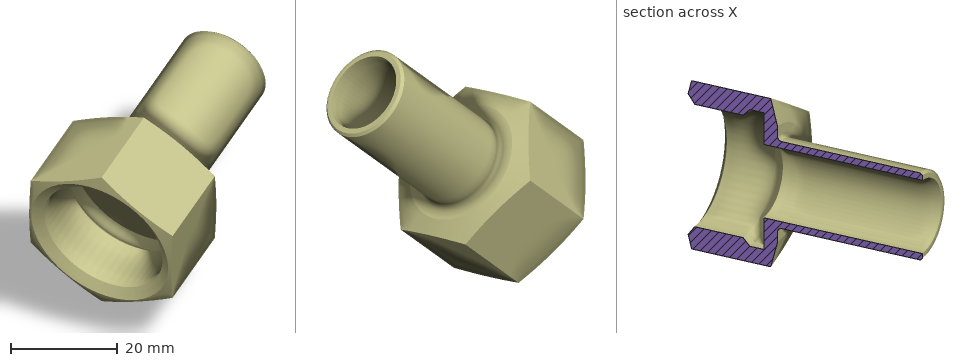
import cadquery as cq
import math

total_length = 50.25
across_flats = 30.0
nut_length = 19.25
tube_diameter = 18.0
tube_bore_diameter = 15.0

chamfer_angle = math.radians(15)
front_face_diameter = 28.95
back_face_diameter = 23.75

tube_end_chamfer = 0.5
tube_root_fillet = 0.8

socket_diameter = 25.1
countersink_depth = 1.45
relief_diameter = 28.0
relief_start = 11.8
socket_depth = 16.25

front_y = -total_length / 2
back_y = total_length / 2
nut_back_y = front_y + nut_length
corner_radius = across_flats / math.sqrt(3)


def revolve_profile(points):
    """Turn a closed outline of (radius, y) points about the Y axis."""
    return cq.Workplane("XY").polyline(points).close().revolve(360, (0, 0, 0), (0, 1, 0))


def make_nut():
    """Hexagon with flats facing +X and -X, its corners cut by a cone at each end."""
    hexagon = (
        cq.Workplane("XZ", origin=(0, front_y, 0))
        .transformed(rotate=(0, 0, 90))
        .polygon(6, 2 * corner_radius)
        .extrude(-nut_length)
    )
    front_radius = front_face_diameter / 2
    back_radius = back_face_diameter / 2
    front_rise = (corner_radius - front_radius) * math.tan(chamfer_angle)
    back_rise = (corner_radius - back_radius) * math.tan(chamfer_angle)
    envelope = revolve_profile([
        (0, front_y),
        (front_radius, front_y),
        (corner_radius, front_y + front_rise),
        (corner_radius, nut_back_y - back_rise),
        (back_radius, nut_back_y),
        (0, nut_back_y),
    ])
    return hexagon.intersect(envelope)


def make_tube():
    """Solid tube body with a chamfer at its free end and a concave fillet at the nut."""
    radius = tube_diameter / 2
    fillet_radius = tube_root_fillet
    arc_inset = fillet_radius * (1 - math.sqrt(0.5))
    return (
        cq.Workplane("XY")
        .moveTo(0, nut_back_y)
        .lineTo(radius + fillet_radius, nut_back_y)
        .threePointArc(
            (radius + arc_inset, nut_back_y + arc_inset),
            (radius, nut_back_y + fillet_radius),
        )
        .lineTo(radius, back_y - tube_end_chamfer)
        .lineTo(radius - tube_end_chamfer, back_y)
        .lineTo(0, back_y)
        .close()
        .revolve(360, (0, 0, 0), (0, 1, 0))
    )


def make_cavity():
    """Countersunk socket opening at 45 degrees into a wider relief, and the bore through the tube."""
    socket_radius = socket_diameter / 2
    relief_radius = relief_diameter / 2
    bore_radius = tube_bore_diameter / 2
    relief_y = front_y + relief_start
    floor_y = front_y + socket_depth
    return revolve_profile([
        (0, front_y),
        (front_face_diameter / 2, front_y),
        (socket_radius, front_y + countersink_depth),
        (socket_radius, relief_y),
        (relief_radius, relief_y + relief_radius - socket_radius),
        (relief_radius, floor_y),
        (bore_radius, floor_y),
        (bore_radius, back_y),
        (0, back_y),
    ])


result = make_nut().union(make_tube()).cut(make_cavity())